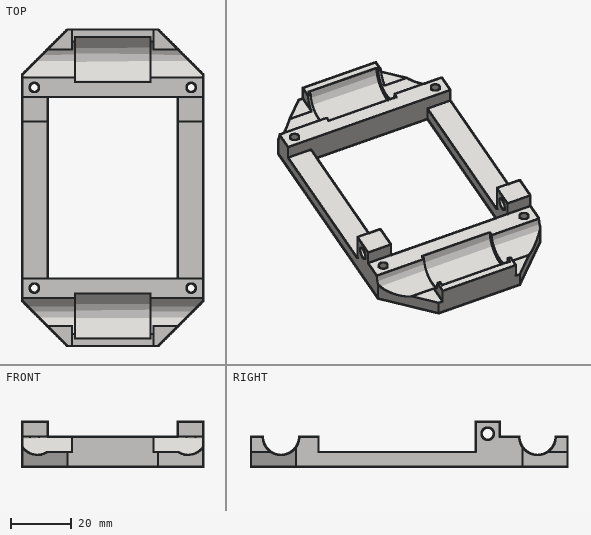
import cadquery as cq

frame_width = 60.0
frame_length = 105.0
base_height = 5.0
corner_chamfer = 15.0
side_rail_width = 8.5
window_length = 60.0
window_width = frame_width - 2 * side_rail_width

seat_height = 10.0
seat_radius = 6.0
recess_radius = 7.5
recess_length = 25.0
seat_inset = 10.0
seat_y = frame_length / 2 - seat_inset
outer_wall_length = 27.0

screw_diameter = 3.0
screw_spacing = 52.0
block_inner_y = window_length / 2
screw_y = (block_inner_y + seat_y - seat_radius) / 2

lug_length = 8.0
lug_top = 15.0
pivot_diameter = 4.0
pivot_height = 11.0
lug_y = block_inner_y - lug_length / 2


def box_between(size_x, y_start, y_end, z_start, z_end, center_x=0.0):
    """Box centred at center_x, between the given Y and Z limits."""
    size_y = y_end - y_start
    size_z = z_end - z_start
    box = cq.Workplane("XY").box(size_x, size_y, size_z, centered=(True, False, False))
    return box.translate((center_x, y_start, z_start))


def x_cylinder(radius, length, y, z):
    """Cylinder along X, centred on X = 0."""
    cylinder = cq.Workplane("YZ").circle(radius).extrude(length)
    return cylinder.translate((-length / 2, y, z))


def octagonal_prism(height):
    """Plan outline of the whole part with its four cut corners."""
    plate = cq.Workplane("XY").box(frame_width, frame_length, height, centered=(True, True, False))
    return plate.edges("|Z").chamfer(corner_chamfer)


def base_frame():
    window = cq.Workplane("XY").rect(window_width, window_length).extrude(base_height)
    return octagonal_prism(base_height).cut(window)


def raised_end():
    """Full-width cross block and the shorter outer wall of the +Y seat."""
    block = box_between(frame_width, block_inner_y, seat_y, base_height, seat_height)
    wall = box_between(outer_wall_length, seat_y, frame_length / 2, base_height, seat_height)
    return block.union(wall).intersect(octagonal_prism(seat_height))


def seat_cutter():
    """Through seat of the +Y end and the wider recess at its middle."""
    seat = x_cylinder(seat_radius, frame_width, seat_y, seat_height)
    recess = x_cylinder(recess_radius, recess_length, seat_y, seat_height)
    return seat.union(recess)


def on_both_ends(shape):
    return shape.union(shape.mirror("XZ"))


def pivot_lugs():
    lug_x = (frame_width - side_rail_width) / 2
    lug_start = block_inner_y - lug_length
    lug = box_between(side_rail_width, lug_start, block_inner_y, base_height, lug_top, lug_x)
    return lug.union(lug.mirror("YZ"))


def screw_holes():
    return (
        cq.Workplane("XY")
        .rarray(screw_spacing, 2 * screw_y, 2, 2)
        .circle(screw_diameter / 2)
        .extrude(seat_height)
    )


result = base_frame().union(on_both_ends(raised_end()))
result = result.cut(on_both_ends(seat_cutter()))
result = result.union(pivot_lugs())
result = result.cut(x_cylinder(pivot_diameter / 2, frame_width, lug_y, pivot_height))
result = result.cut(screw_holes())